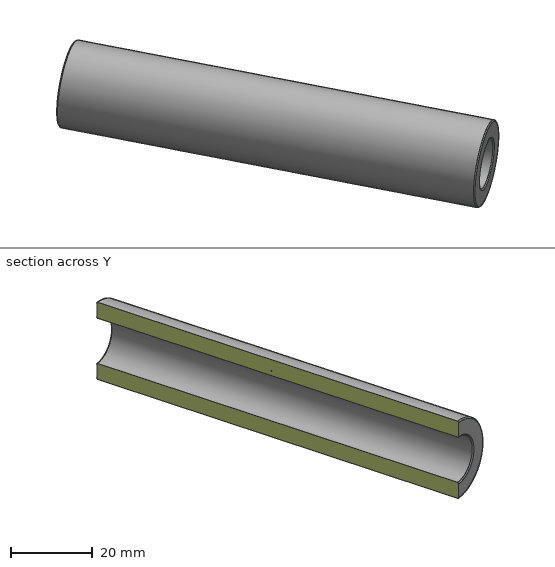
import cadquery as cq

length = 106.2
outer_diameter = 21.9
bore_diameter = 12.6
edge_chamfer = 0.31

tube = (
    cq.Workplane("YZ")
    .workplane(offset=-length / 2)
    .circle(outer_diameter / 2)
    .circle(bore_diameter / 2)
    .extrude(length)
)

result = tube.faces("<X or >X").edges().chamfer(edge_chamfer)